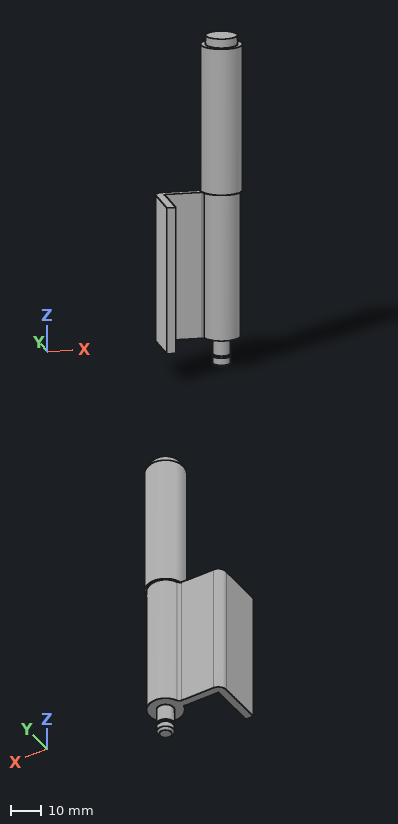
import cadquery as cq
import math

TOTAL_HEIGHT = 113
TOTAL_WIDTH = 29.7
TOTAL_DEPTH = 25.4
TAIL_LENGTH = 10.1
BARREL_LENGTH = 50.0
LEAF_BOTTOM = TAIL_LENGTH
LEAF_TOP = LEAF_BOTTOM + BARREL_LENGTH
UPPER_TOP = LEAF_TOP + BARREL_LENGTH

UPPER_DIAMETER = 14.0
LOWER_DIAMETER = 12.7
PIN_DIAMETER = 6.0
HEAD_DIAMETER = 10.6

GROOVE_BOTTOM = 3.3
GROOVE_WIDTH = 0.7
GROOVE_DEPTH = 0.3
TIP_CHAMFER = 0.9

LEAF_THICKNESS = 3.0
LEAF_OUTER_X = UPPER_DIAMETER / 2 - TOTAL_WIDTH
FLANGE_END_Y = UPPER_DIAMETER / 2 - TOTAL_DEPTH
BEND_RADIUS = LEAF_THICKNESS

BLEND_RADIUS = 1.4
BLEND_CENTER_Y = LEAF_THICKNESS / 2 + BLEND_RADIUS
BLEND_CENTER_X = -math.sqrt((LOWER_DIAMETER / 2 + BLEND_RADIUS) ** 2 - BLEND_CENTER_Y**2)


def cylinder(diameter, bottom, top):
    """Solid cylinder on the hinge axis between two heights."""
    return cq.Workplane("XY").workplane(offset=bottom).circle(diameter / 2).extrude(top - bottom)


def make_pin():
    """Headed pin with a retaining groove and a chamfered tip."""
    shank = cylinder(PIN_DIAMETER, 0, UPPER_TOP).faces("<Z").chamfer(TIP_CHAMFER)
    head = cylinder(HEAD_DIAMETER, UPPER_TOP, TOTAL_HEIGHT)
    groove_top = GROOVE_BOTTOM + GROOVE_WIDTH
    groove_core = cylinder(PIN_DIAMETER - 2 * GROOVE_DEPTH, GROOVE_BOTTOM, groove_top)
    groove = cylinder(PIN_DIAMETER, GROOVE_BOTTOM, groove_top).cut(groove_core)
    return shank.union(head).cut(groove)


def make_upper_barrel():
    """Plain sleeve around the upper half of the pin."""
    bore = cylinder(PIN_DIAMETER, LEAF_TOP, UPPER_TOP)
    return cylinder(UPPER_DIAMETER, LEAF_TOP, UPPER_TOP).cut(bore)


def make_leaf():
    """Lower barrel with an L-shaped leaf whose web curves into the barrel."""
    back_y = LEAF_THICKNESS / 2
    front_y = back_y - LEAF_THICKNESS
    inner_x = LEAF_OUTER_X + LEAF_THICKNESS
    barrel_radius = LOWER_DIAMETER / 2
    contact_ratio = barrel_radius / (barrel_radius + BLEND_RADIUS)
    contact = (BLEND_CENTER_X * contact_ratio, BLEND_CENTER_Y * contact_ratio)
    front_radius = BLEND_RADIUS + LEAF_THICKNESS
    front_arc_reach = front_radius / math.sqrt(2)
    front_arc_end = (BLEND_CENTER_X + front_arc_reach, BLEND_CENTER_Y - front_arc_reach)
    plate = (
        cq.Workplane("XY")
        .workplane(offset=LEAF_BOTTOM)
        .moveTo(*contact)
        .radiusArc((BLEND_CENTER_X, back_y), BLEND_RADIUS)
        .lineTo(LEAF_OUTER_X + BEND_RADIUS, back_y)
        .radiusArc((LEAF_OUTER_X, back_y - BEND_RADIUS), -BEND_RADIUS)
        .lineTo(LEAF_OUTER_X, FLANGE_END_Y)
        .lineTo(inner_x, FLANGE_END_Y)
        .lineTo(inner_x, front_y)
        .lineTo(BLEND_CENTER_X, front_y)
        .radiusArc(front_arc_end, -front_radius)
        .close()
        .extrude(BARREL_LENGTH)
    )
    barrel = cylinder(LOWER_DIAMETER, LEAF_BOTTOM, LEAF_TOP)
    return barrel.union(plate).cut(cylinder(PIN_DIAMETER, LEAF_BOTTOM, LEAF_TOP))


pin = make_pin()
upper_barrel = make_upper_barrel()
leaf = make_leaf()

result = cq.Compound.makeCompound([pin.val(), upper_barrel.val(), leaf.val()])